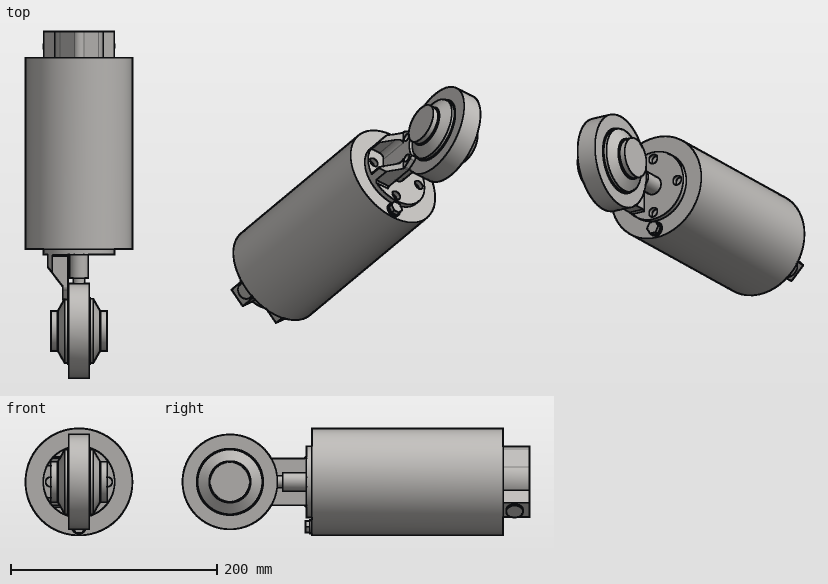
import cadquery as cq
import math

total_length = 336.5

body_diameter = 104.0
body_front = 79.5

roller_radius = 46.0
roller_half_width = 10.0
collar_radius = 32.3
collar_half_width = 10.8
cone_large_radius = 31.3
cone_base_half_width = 13.8
cone_tip_radius = 20.2
cone_tip_half_width = 20.2
hub_neck_radius = 19.0
hub_neck_end = 21.2
hub_radius = 19.5
hub_half_width = 27.3

plate_radius = 34.5
plate_thickness = 5.5
plate_hole_circle_radius = 27.5
plate_hole_radius = 4.7
plate_hole_count = 4

rod_radius = 9.0
rod_end = 51.0
neck_radius = 5.7

bracket_half_height = 23.0
bracket_inner_x = -10.5
bracket_outer_x = -30.3
floor_x = -15.8
channel_half_height = 15.5
channel_fillet = 5.0
taper_start = 62.0
taper_end = 43.0
root_chamfer = 1.7
tab_end = 30.3
tab_corner_start = 40.7
tab_end_half_height = 16.5
tab_corner_fillet = 3.5
tab_clearance_radius = 33.3
tab_hole_radius = 3.87
tab_hole_y = 37.5
tab_hole_z = 13.0

plug_z = -43.5
washer_radius = 6.9
washer_thickness = 2.0
plug_height = 6.5
plug_hex_diameter = 13.0

boss_length = 25.5
boss_hub_radius = 23.5
boss_reach = 34.3
lobe_tip_radius = 6.0
arm_width = 19.5
arm_length = 38.7
arm_tilt = 45.0
arm_disc_radius = 8.25
arm_disc_height = 2.0
arm_disc_from_rear = 14.5

rear_end = total_length - roller_radius
body_rear = rear_end - boss_length
plate_front = body_front - plate_thickness


def cylinder_along_y(radius, start, end, x=0.0, z=0.0):
    """Cylinder parallel to Y between two Y positions."""
    return cq.Workplane("XZ", origin=(x, start, z)).circle(radius).extrude(start - end)


def make_roller():
    """Roller with its collars, cones and hub, revolved about X from a half profile."""
    half_outline = [
        (roller_half_width, roller_radius),
        (roller_half_width, collar_radius),
        (collar_half_width, collar_radius),
        (collar_half_width, cone_large_radius),
        (cone_base_half_width, cone_large_radius),
        (cone_tip_half_width, cone_tip_radius),
        (cone_tip_half_width, hub_neck_radius),
        (hub_neck_end, hub_neck_radius),
        (hub_neck_end, hub_radius),
        (hub_half_width, hub_radius),
        (hub_half_width, 0),
    ]
    mirrored_outline = [(-x, y) for x, y in reversed(half_outline)]
    profile = cq.Workplane("XY").polyline(half_outline + mirrored_outline).close()
    return profile.revolve(360, (0, 0, 0), (1, 0, 0))


def make_plate():
    """Front plate with evenly spaced screw holes through its thickness."""
    plate = cylinder_along_y(plate_radius, plate_front, body_front)
    for index in range(plate_hole_count):
        angle = 2 * math.pi * index / plate_hole_count
        hole_x = plate_hole_circle_radius * math.cos(angle)
        hole_z = plate_hole_circle_radius * math.sin(angle)
        plate = plate.cut(cylinder_along_y(plate_hole_radius, plate_front, body_front, hole_x, hole_z))
    return plate


def make_rod():
    """Piston rod and the thinner neck that reaches into the roller."""
    rod = cylinder_along_y(rod_radius, rod_end, body_front)
    neck = cylinder_along_y(neck_radius, roller_radius - roller_half_width, rod_end)
    return rod.union(neck)


def make_bracket():
    """Ribbed channel on the plate, tapering to a tab beside the roller."""
    width = bracket_inner_x - bracket_outer_x

    taper = (
        cq.Workplane("XY", origin=(0, 0, -bracket_half_height))
        .moveTo(bracket_inner_x, plate_front)
        .lineTo(bracket_outer_x, plate_front)
        .lineTo(bracket_outer_x, taper_start)
        .lineTo(floor_x, taper_end)
        .lineTo(floor_x, tab_end)
        .lineTo(bracket_inner_x, tab_end)
        .close()
        .extrude(2 * bracket_half_height)
    )

    outline = (
        cq.Workplane("YZ", origin=(bracket_outer_x, 0, 0))
        .moveTo(plate_front, bracket_half_height)
        .lineTo(tab_corner_start, bracket_half_height)
        .lineTo(tab_end, tab_end_half_height)
        .lineTo(tab_end, -tab_end_half_height)
        .lineTo(tab_corner_start, -bracket_half_height)
        .lineTo(plate_front, -bracket_half_height)
        .close()
        .extrude(width)
        .edges("|X and (not >Y)")
        .fillet(tab_corner_fillet)
    )
    bracket = taper.intersect(outline)

    flare_half_height = bracket_half_height + root_chamfer
    flare = (
        cq.Workplane("YZ", origin=(bracket_outer_x, 0, 0))
        .moveTo(plate_front, -flare_half_height)
        .lineTo(plate_front, flare_half_height)
        .lineTo(plate_front - root_chamfer, bracket_half_height)
        .lineTo(plate_front - root_chamfer, -bracket_half_height)
        .close()
        .extrude(width)
    )

    bracket = bracket.union(flare).intersect(cylinder_along_y(plate_radius, tab_end, plate_front))

    channel_depth = floor_x - bracket_outer_x
    channel = (
        cq.Workplane("XY")
        .box(2 * channel_depth, plate_front - tab_end, 2 * channel_half_height)
        .edges(">X and |Y")
        .fillet(channel_fillet)
        .translate((floor_x - channel_depth, (plate_front + tab_end) / 2, 0))
    )
    bracket = bracket.cut(channel)

    tab_cutters = (
        cq.Workplane("YZ", origin=(bracket_outer_x, 0, 0))
        .circle(tab_clearance_radius)
        .pushPoints([(tab_hole_y, tab_hole_z), (tab_hole_y, -tab_hole_z)])
        .circle(tab_hole_radius)
        .extrude(width)
    )
    return bracket.cut(tab_cutters)


def make_plug():
    """Hexagonal plug with a round washer."""
    washer = cylinder_along_y(washer_radius, body_front - washer_thickness, body_front, z=plug_z)
    head = (
        cq.Workplane("XZ", origin=(0, body_front, plug_z))
        .polygon(6, plug_hex_diameter)
        .extrude(plug_height)
    )
    return washer.union(head)


def make_arm(side):
    """Square rear arm pointing down to one side, with a low disc on its end."""
    arm = (
        cq.Workplane("XY")
        .box(arm_length, boss_length, arm_width)
        .translate((arm_length / 2, rear_end - boss_length / 2, 0))
    )
    disc = (
        cq.Workplane("YZ", origin=(arm_length, rear_end - arm_disc_from_rear, 0))
        .circle(arm_disc_radius)
        .extrude(arm_disc_height)
    )
    arm = arm.union(disc).rotate((0, 0, 0), (0, 1, 0), arm_tilt)
    return arm if side > 0 else arm.mirror("YZ")


def make_rear_boss():
    """Rear hub with a tapered top lobe tangent to it and two arms below."""
    hub_and_arms = (
        cylinder_along_y(boss_hub_radius, body_rear, rear_end)
        .union(make_arm(-1))
        .union(make_arm(1))
    )

    tip_z = boss_reach - lobe_tip_radius
    tangent_angle = math.asin((boss_hub_radius - lobe_tip_radius) / tip_z)
    across = math.cos(tangent_angle)
    along = math.sin(tangent_angle)
    tip_x = lobe_tip_radius * across
    tip_tangent_z = tip_z + lobe_tip_radius * along
    lobe = (
        cq.Workplane("XZ", origin=(0, body_rear, 0))
        .moveTo(-boss_hub_radius * across, boss_hub_radius * along)
        .lineTo(-tip_x, tip_tangent_z)
        .threePointArc((0, boss_reach), (tip_x, tip_tangent_z))
        .lineTo(boss_hub_radius * across, boss_hub_radius * along)
        .lineTo(0, 0)
        .close()
        .extrude(-boss_length)
    )
    return hub_and_arms.union(lobe)


result = (
    cylinder_along_y(body_diameter / 2, body_front, body_rear)
    .union(make_plate())
    .union(make_rod())
    .union(make_roller())
    .union(make_bracket())
    .union(make_plug())
    .union(make_rear_boss())
)